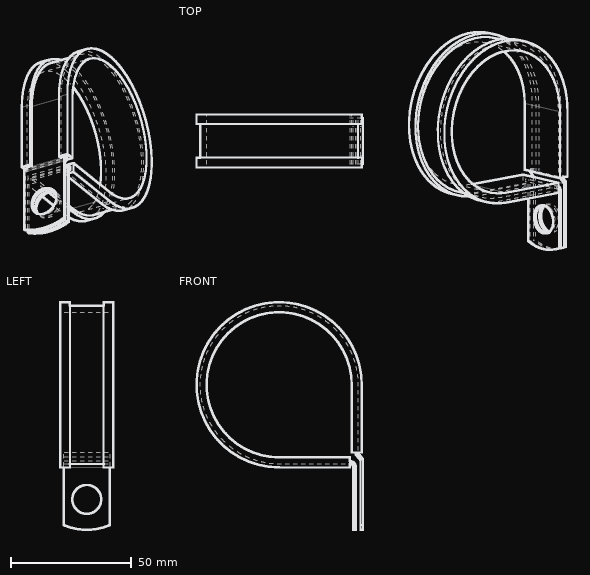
import cadquery as cq
import math


outer_radius = 34.4
band_thickness = 4.3
band_width = 22.1
groove_width = 13.9
groove_depth = 1.5
upright_end_z = -28.2
level_end_x = 29.4

strap_thickness = 1.1
tab_width = 19.2
tab_tip_z = outer_radius - 94.75
tab_tip_rise = 2.0
hole_diameter = 11.9
hole_height = 12.7
right_tab_outer_x = 34.9
embed_length = 1.9

curl_inner_radius = 1.4
joggle_angle = math.radians(40)
joggle_start_drop = 0.3
joggle_inner_radius = 0.3

strap_outer = outer_radius - groove_depth
strap_inner = strap_outer - strap_thickness


def extrude_centered(outline, width):
    return outline.extrude(width / 2, both=True)


def band_layer(outside, inside, width):
    """Three-quarter ring with a straight leg running down and another running right."""
    diagonal = math.sqrt(0.5)
    outline = (
        cq.Workplane("XZ")
        .moveTo(outside, upright_end_z)
        .lineTo(outside, 0)
        .threePointArc((-outside * diagonal, outside * diagonal), (0, -outside))
        .lineTo(level_end_x, -outside)
        .lineTo(level_end_x, -inside)
        .lineTo(0, -inside)
        .threePointArc((-inside * diagonal, inside * diagonal), (inside, 0))
        .lineTo(inside, upright_end_z)
        .close()
    )
    return extrude_centered(outline, width)


def grooved_band():
    band = band_layer(outer_radius, outer_radius - band_thickness, band_width)
    return band.cut(band_layer(outer_radius, strap_outer, groove_width))


def curled_tab():
    """Tab leaving the horizontal straight and curling down through a right angle."""
    curl_outer_radius = curl_inner_radius + strap_thickness
    curl_z = -strap_inner - curl_outer_radius
    outline = (
        cq.Workplane("XZ")
        .moveTo(level_end_x - embed_length, -strap_inner)
        .lineTo(level_end_x, -strap_inner)
        .radiusArc((level_end_x + curl_outer_radius, curl_z), curl_outer_radius)
        .lineTo(level_end_x + curl_outer_radius, tab_tip_z)
        .lineTo(level_end_x + curl_inner_radius, tab_tip_z)
        .lineTo(level_end_x + curl_inner_radius, curl_z)
        .radiusArc((level_end_x, -strap_outer), -curl_inner_radius)
        .lineTo(level_end_x - embed_length, -strap_outer)
        .close()
    )
    return extrude_centered(outline, tab_width)


def joggled_tab():
    """Tab leaving the vertical straight and stepping outward."""
    bend_start_z = upright_end_z - joggle_start_drop
    bend_end_z = bend_start_z - (right_tab_outer_x - strap_outer) / math.tan(joggle_angle)
    miter_drop = strap_thickness * math.tan(joggle_angle / 2)
    right_bends = [(strap_outer, bend_start_z), (right_tab_outer_x, bend_end_z)]
    left_bends = [(x - strap_thickness, z - miter_drop) for x, z in right_bends]
    top_z = upright_end_z + embed_length
    outline = cq.Workplane("XZ").polyline(
        [(strap_outer, top_z)]
        + right_bends
        + [(right_tab_outer_x, tab_tip_z), (right_tab_outer_x - strap_thickness, tab_tip_z)]
        + left_bends[::-1]
        + [(strap_inner, top_z)]
    ).close()
    tab = extrude_centered(outline, tab_width)

    def round_bends(body, points, radius):
        for x, z in points:
            body = body.edges(cq.selectors.NearestToPointSelector((x, 0, z))).fillet(radius)
        return body

    inside_bends = [right_bends[0], left_bends[1]]
    outside_bends = [left_bends[0], right_bends[1]]
    tab = round_bends(tab, inside_bends, joggle_inner_radius)
    return round_bends(tab, outside_bends, joggle_inner_radius + strap_thickness)


def tab_envelope():
    """Rounded-end blank, with the bolt hole, that trims both tabs."""
    half_width = tab_width / 2
    corner_z = tab_tip_z + tab_tip_rise
    return (
        cq.Workplane("YZ")
        .moveTo(-half_width, 0)
        .lineTo(-half_width, corner_z)
        .threePointArc((0, tab_tip_z), (half_width, corner_z))
        .lineTo(half_width, 0)
        .close()
        .moveTo(0, tab_tip_z + hole_height)
        .circle(hole_diameter / 2)
        .extrude(right_tab_outer_x + strap_thickness)
    )


envelope = tab_envelope()
result = grooved_band()
for tab in (curled_tab(), joggled_tab()):
    result = result.union(tab.intersect(envelope))